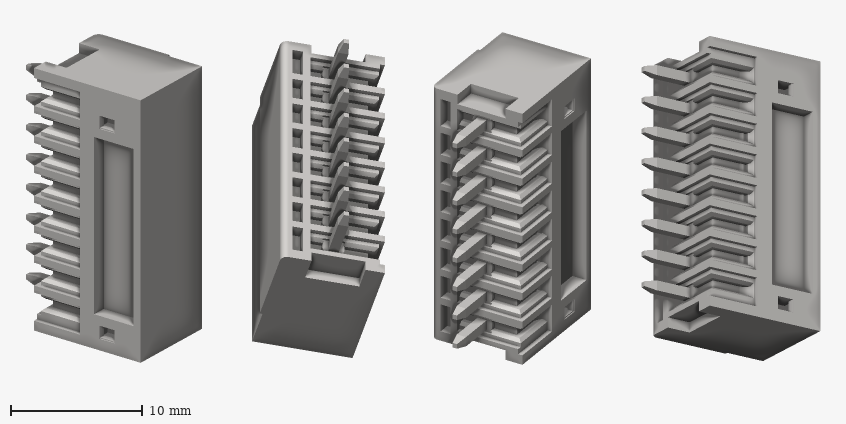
import cadquery as cq
import math

body_length = 10.1
body_depth = 8.1
body_height = 21.9
back_corner_radius = 0.55
back_pad_length = 6.83
back_pad_height = 0.22
end_notch_depth_x = 1.97
end_notch_depth_z = 0.83
end_notch_y = (1.51, 5.75)

pin_count = 8
pin_pitch = 2.5
pin_y = 3.9
pin_size = 0.8
pin_tip_size = 0.4
pin_reach = 3.5
pin_taper = 0.99
boss_radius = 0.88
boss_face_x = 0.55

slot_height = 1.9
slot_depth = 0.37
slot_end_x = 4.34
slot_end_y = 5.83
outer_slot_extra = 0.44
channel_mouth = 1.23
channel_height = 0.77
bevel_depth = 0.28
bevel_bottom = slot_depth + bevel_depth
channel_floor_x = 0.99
channel_floor_y = 1.1
arc_center_x = 3.22
arc_radius = slot_end_x - arc_center_x
arc_notch_x = (3.72, 4.0)
notched_slots = (2, 3, 4, 5, 6)

window_y = (6.42, 7.27)
window_depth = 0.99

face_center_z = -0.68
recess_x = (5.7, 9.42)
recess_height = 14.78
recess_depth = 1.25
latch_x = (6.22, 7.65)
latch_height = 1.1
latch_offset = 8.75
latch_ledge = 0.09
latch_throat_depth = 0.57
latch_flare = 0.22
latch_depth = 1.31
latch_step_depth = 1.53
latch_step_height = 0.77


def block(x, y, z):
    """Box between the given (low, high) limits on each axis."""
    return cq.Workplane("XY").box(
        x[1] - x[0], y[1] - y[0], z[1] - z[0], centered=False
    ).translate((x[0], y[0], z[0]))


def centered(middle, size):
    return (middle - size / 2, middle + size / 2)


def make_housing():
    back_y = body_depth - back_pad_height
    housing = block((0, body_length), (0, back_y), centered(0, body_height))
    pad = block((0, back_pad_length), (0, body_depth), centered(0, body_height))
    housing = housing.union(pad).edges("|Z and <X and >Y").fillet(back_corner_radius)
    for low in (-body_height / 2, body_height / 2 - end_notch_depth_z):
        notch = block((0, end_notch_depth_x), end_notch_y, (low, low + end_notch_depth_z))
        housing = housing.cut(notch)
    return housing


def extended(z, index):
    """Stretch a Z range outward for the first and last pin positions."""
    low, high = z
    if index == 0:
        high += outer_slot_extra
    if index == pin_count - 1:
        low -= outer_slot_extra
    return (low, high)


def slot_recess(z, index):
    """Shallow recess that wraps around the edge; the end ones are taller on the slotted face."""
    pin_face_arm = block((0, slot_depth), (0, slot_end_y), centered(z, slot_height))
    side_z = extended(centered(z, slot_height), index)
    side_arm = block((0, slot_end_x), (0, slot_depth), side_z)
    return pin_face_arm.union(side_arm)


def channel_plan(height):
    """L-shaped channel of the given height, with a concave arc at its far end."""
    arc_run = math.sqrt(arc_radius**2 - channel_floor_y**2)
    middle_angle = math.atan2(channel_floor_y, arc_run) / 2
    arc_middle = (
        arc_center_x + arc_radius * math.cos(middle_angle),
        arc_radius * math.sin(middle_angle),
    )
    return (
        cq.Workplane("XY")
        .lineTo(slot_end_x, 0)
        .threePointArc(arc_middle, (arc_center_x + arc_run, channel_floor_y))
        .lineTo(channel_floor_x, channel_floor_y)
        .lineTo(channel_floor_x, slot_end_y)
        .lineTo(0, slot_end_y)
        .close()
        .extrude(height / 2, both=True)
    )


def bevel_prism(plane, length):
    """Trapezoid prism that widens the channel from its throat to its mouth."""
    throat = channel_height / 2
    mouth = channel_mouth / 2
    outline = [(0, -mouth), (slot_depth, -mouth), (bevel_bottom, -throat)]
    outline += [(depth, -half) for depth, half in reversed(outline)]
    return plane.polyline(outline).close().extrude(length)


def make_channel():
    """Channel centred on Z = 0, mouth edges bevelled except above the boss."""
    along_x = bevel_prism(cq.Workplane("YZ"), slot_end_x)
    along_y = bevel_prism(cq.Workplane("XZ"), -slot_end_y)
    mouth = channel_plan(channel_mouth).intersect(along_x.union(along_y))
    boss_seat = block(
        (0, boss_face_x), centered(pin_y, 2 * boss_radius), centered(0, channel_mouth)
    )
    return channel_plan(channel_height).union(mouth).union(boss_seat)


def make_pin():
    """Square pin along X, tapered toward its free end, centred on Y = Z = 0."""
    shank_start = pin_taper - pin_reach
    shank = block(
        (shank_start, channel_floor_x), centered(0, pin_size), centered(0, pin_size)
    )
    tip = (
        cq.Workplane("YZ", origin=(-pin_reach, 0, 0))
        .rect(pin_tip_size, pin_tip_size)
        .workplane(offset=pin_taper)
        .rect(pin_size, pin_size)
        .loft(ruled=True)
    )
    return shank.union(tip)


def make_boss():
    """Round boss that holds a pin inside its channel."""
    boss = cq.Workplane("YZ", origin=(boss_face_x, 0, 0)).circle(boss_radius)
    return boss.extrude(channel_floor_x - boss_face_x)


def make_latch_opening():
    """Ledged mouth and throat that open into a wider chamber with a stepped back."""
    mouth = block(latch_x, (0, latch_ledge), (0, latch_height))
    throat_x = (latch_x[0], latch_x[1] - latch_ledge)
    throat = block(throat_x, (0, latch_throat_depth), (latch_ledge, latch_height))
    chamber_x = (latch_x[0] - latch_flare, latch_x[1] + latch_flare)
    chamber = block(chamber_x, (latch_throat_depth, latch_depth), (0, latch_height))
    upper = block(chamber_x, (latch_depth, latch_step_depth), (latch_step_height, latch_height))
    return mouth.union(throat).union(chamber).union(upper)


result = make_housing()

channel = make_channel()
pin = make_pin().union(make_boss())
for index in range(pin_count):
    z = ((pin_count - 1) / 2 - index) * pin_pitch
    slot = slot_recess(z, index).union(channel.translate((0, 0, z)))
    if index in notched_slots:
        slot = slot.union(block(arc_notch_x, (0, channel_floor_y), centered(z, channel_height)))
    window_z = extended(centered(z, slot_height), index)
    window = block((0, window_depth), window_y, window_z)
    result = result.cut(slot).cut(window).union(pin.translate((0, pin_y, z)))

label_recess = block(recess_x, (0, recess_depth), centered(face_center_z, recess_height))
result = result.cut(label_recess)

latch_opening = make_latch_opening()
for side in (-1, 1):
    floor_z = face_center_z + side * latch_offset - latch_height / 2
    result = result.cut(latch_opening.translate((0, 0, floor_z)))